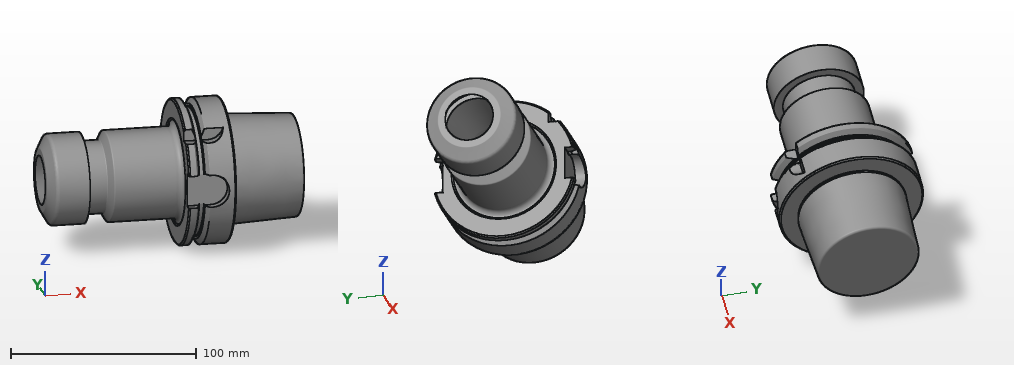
import cadquery as cq
import math

LENGTH = 140.0
CONE_SLOPE = math.tan(math.radians(60))

BODY_RADIUS = 50.0 / 2
NOSE_RADIUS = 17.5
NOSE_EDGE_FILLET = 1.0
NUT_END = 22.4
NUT_FILLET = 2.4
NECK_RADIUS = 20.0
NECK_END = 33.0
NECK_CORNER_FILLET = 0.5
BODY_EDGE_FILLET = 1.0

FLANGE_START = 73.9
FLANGE_END = 100.0
FLANGE_RADIUS = 80.0 / 2
FLANGE_CHAMFER = 0.8
GROOVE_CENTER = FLANGE_START + 8.0
GROOVE_HALF_FLOOR = 3.2 / 2
GROOVE_HALF_MOUTH = 3.5
GROOVE_FLOOR_RADIUS = 35.0
GROOVE_FILLET = 0.4
GROOVE_CONE_RADIUS = FLANGE_RADIUS - (GROOVE_HALF_MOUTH - GROOVE_HALF_FLOOR) * CONE_SLOPE

RELIEF_FILLET = 3.4
RELIEF_UNDERCUT = 0.07
RELIEF_DEPTH = 0.5
RELIEF_BASE_RADIUS = BODY_RADIUS - RELIEF_UNDERCUT
RELIEF_RIM_RADIUS = 29.3
RELIEF_END = FLANGE_START + RELIEF_DEPTH
RELIEF_START = RELIEF_END - RELIEF_FILLET
RELIEF_LEAD_IN = 1.3

SHANK_RADIUS = 30.1
SHANK_TAPER = 1 / 20
SHANK_NECK_LENGTH = 1.1
SHANK_NECK_RADIUS = 29.7
SHANK_LEAD_IN = 0.5
SHANK_FILLET = 1.4

MOUTH_RADIUS = 26.7 / 2
CAVITY_RADIUS = 38.5 / 2
CAVITY_HALF_ANGLE = 30
CAVITY_END = 12.9
COLLET_RADIUS = 16.2
COLLET_HALF_ANGLE = 8
BORE_RADIUS = 11.8
BORE_END = 56.0
BORE_FLOOR_RADIUS = 10.9
DRILL_RADIUS = 7.0
DRILL_END = 77.0
DRILL_HALF_ANGLE = 59
COUNTERSINK_RADIUS = 17.5 / 2

SLOT_END_RADIUS = 9.0
SLOT_END_CENTER = 87.1
FRONT_SLOT_WIDTH = 2 * SLOT_END_RADIUS
BACK_SLOT_WIDTH = 19.9
SLOT_FLOOR = 34.0
NOTCH_FLOOR = 24.9
CUT_MARGIN = 7.0


def revolve_about_x(profile):
    """Revolve a closed (axial, radial) profile a full turn about the X axis."""
    return profile.close().revolve(360, (0, 0, 0), (1, 0, 0))


def circle_at(solid, x, radius, tolerance=0.07):
    """Pick the circular edge of a given radius around the X axis at a given X."""
    reach = radius + tolerance
    ring = cq.selectors.BoxSelector(
        (x - tolerance, -reach, -reach), (x + tolerance, reach, reach), boundingbox=True
    )
    inner = radius - tolerance
    core = cq.selectors.BoxSelector(
        (x - tolerance, -inner, -inner), (x + tolerance, inner, inner), boundingbox=True
    )
    return solid.edges(ring - core)


def body_and_nut():
    nut_cone_end = (BODY_RADIUS - NOSE_RADIUS) / CONE_SLOPE
    body_cone_end = NECK_END + (BODY_RADIUS - NECK_RADIUS) / CONE_SLOPE
    arc_turn = math.radians(45)
    arc_middle = (
        RELIEF_START + RELIEF_FILLET * math.sin(arc_turn),
        RELIEF_BASE_RADIUS + RELIEF_FILLET * (1 - math.cos(arc_turn)),
    )
    profile = (
        cq.Workplane("XY")
        .moveTo(0, 0)
        .lineTo(0, NOSE_RADIUS)
        .lineTo(nut_cone_end, BODY_RADIUS)
        .lineTo(NUT_END, BODY_RADIUS)
        .lineTo(NUT_END, NECK_RADIUS)
        .lineTo(NECK_END, NECK_RADIUS)
        .lineTo(body_cone_end, BODY_RADIUS)
        .lineTo(RELIEF_START - RELIEF_LEAD_IN, BODY_RADIUS)
        .lineTo(RELIEF_START, RELIEF_BASE_RADIUS)
        .threePointArc(arc_middle, (RELIEF_END, RELIEF_BASE_RADIUS + RELIEF_FILLET))
        .lineTo(FLANGE_START, RELIEF_RIM_RADIUS)
        .lineTo(FLANGE_START, FLANGE_RADIUS - FLANGE_CHAMFER)
        .lineTo(FLANGE_START + FLANGE_CHAMFER, FLANGE_RADIUS)
        .lineTo(GROOVE_CENTER - GROOVE_HALF_MOUTH, FLANGE_RADIUS)
        .lineTo(GROOVE_CENTER - GROOVE_HALF_FLOOR, GROOVE_CONE_RADIUS)
        .lineTo(GROOVE_CENTER - GROOVE_HALF_FLOOR, GROOVE_FLOOR_RADIUS)
        .lineTo(GROOVE_CENTER + GROOVE_HALF_FLOOR, GROOVE_FLOOR_RADIUS)
        .lineTo(GROOVE_CENTER + GROOVE_HALF_FLOOR, GROOVE_CONE_RADIUS)
        .lineTo(GROOVE_CENTER + GROOVE_HALF_MOUTH, FLANGE_RADIUS)
        .lineTo(FLANGE_END - FLANGE_CHAMFER, FLANGE_RADIUS)
        .lineTo(FLANGE_END, FLANGE_RADIUS - FLANGE_CHAMFER)
        .lineTo(FLANGE_END, 0)
    )
    solid = revolve_about_x(profile)
    solid = circle_at(solid, 0, NOSE_RADIUS).fillet(NOSE_EDGE_FILLET)
    solid = circle_at(solid, nut_cone_end, BODY_RADIUS).fillet(NUT_FILLET)
    solid = circle_at(solid, NECK_END, NECK_RADIUS).fillet(NECK_CORNER_FILLET)
    solid = circle_at(solid, body_cone_end, BODY_RADIUS).fillet(BODY_EDGE_FILLET)
    for side in (-1, 1):
        mouth_x = GROOVE_CENTER + side * GROOVE_HALF_MOUTH
        floor_x = GROOVE_CENTER + side * GROOVE_HALF_FLOOR
        solid = circle_at(solid, mouth_x, FLANGE_RADIUS).fillet(GROOVE_FILLET)
        solid = circle_at(solid, floor_x, GROOVE_FLOOR_RADIUS).fillet(GROOVE_FILLET)
    return solid


def taper_shank():
    neck_end = FLANGE_END + SHANK_NECK_LENGTH
    taper_start = neck_end + SHANK_LEAD_IN
    end_radius = SHANK_RADIUS - (LENGTH - taper_start) * SHANK_TAPER
    profile = (
        cq.Workplane("XY")
        .moveTo(FLANGE_END, 0)
        .lineTo(FLANGE_END, SHANK_NECK_RADIUS)
        .lineTo(neck_end, SHANK_NECK_RADIUS)
        .lineTo(taper_start, SHANK_RADIUS)
        .lineTo(LENGTH, end_radius)
        .lineTo(LENGTH, 0)
    )
    return revolve_about_x(profile).edges(">X").fillet(SHANK_FILLET)


def collet_bore():
    cavity_cone_end = (CAVITY_RADIUS - MOUTH_RADIUS) / math.tan(math.radians(CAVITY_HALF_ANGLE))
    collet_length = (COLLET_RADIUS - BORE_RADIUS) / math.tan(math.radians(COLLET_HALF_ANGLE))
    drill_tip = DRILL_END + DRILL_RADIUS / math.tan(math.radians(DRILL_HALF_ANGLE))
    profile = (
        cq.Workplane("XY")
        .moveTo(0, 0)
        .lineTo(0, MOUTH_RADIUS)
        .lineTo(cavity_cone_end, CAVITY_RADIUS)
        .lineTo(CAVITY_END, CAVITY_RADIUS)
        .lineTo(CAVITY_END, COLLET_RADIUS)
        .lineTo(CAVITY_END + collet_length, BORE_RADIUS)
        .lineTo(BORE_END - (BORE_RADIUS - BORE_FLOOR_RADIUS), BORE_RADIUS)
        .lineTo(BORE_END, BORE_FLOOR_RADIUS)
        .lineTo(BORE_END, COUNTERSINK_RADIUS)
        .lineTo(BORE_END + COUNTERSINK_RADIUS - DRILL_RADIUS, DRILL_RADIUS)
        .lineTo(DRILL_END, DRILL_RADIUS)
        .lineTo(drill_tip, 0)
    )
    return revolve_about_x(profile)


def flange_cut(y_min, y_max, z_min, z_max, rounded_edges):
    """Box entering the flange from its nose side, with its far end rounded along Y."""
    x_size = SLOT_END_CENTER + SLOT_END_RADIUS - FLANGE_START
    box = cq.Workplane("XY").box(x_size, y_max - y_min, z_max - z_min, centered=False)
    box = box.translate((FLANGE_START, y_min, z_min))
    return box.edges(rounded_edges).fillet(SLOT_END_RADIUS)


def front_drive_slot():
    """Slot in the -Y side whose far end is a full half circle."""
    outside = FLANGE_RADIUS + CUT_MARGIN
    half_width = FRONT_SLOT_WIDTH / 2
    depth = outside - SLOT_FLOOR
    straight = (
        cq.Workplane("XY")
        .box(SLOT_END_CENTER - FLANGE_START, depth, FRONT_SLOT_WIDTH, centered=False)
        .translate((FLANGE_START, -outside, -half_width))
    )
    round_end = (
        cq.Workplane("XZ", origin=(SLOT_END_CENTER, -SLOT_FLOOR, 0))
        .circle(SLOT_END_RADIUS)
        .extrude(depth)
    )
    return straight.union(round_end)


def back_drive_slot():
    """Wider slot in the +Y side with two rounded corners at its far end."""
    half_width = BACK_SLOT_WIDTH / 2
    return flange_cut(SLOT_FLOOR, FLANGE_RADIUS + CUT_MARGIN, -half_width, half_width, ">X and |Y")


def orientation_notch():
    """Square corner notch on the -Y, +Z side; its floor sweeps up at the far end."""
    outside = FLANGE_RADIUS + CUT_MARGIN
    return flange_cut(-outside, -NOTCH_FLOOR, NOTCH_FLOOR, outside, ">X and |Y and <Z")


result = (
    body_and_nut()
    .union(taper_shank())
    .cut(collet_bore())
    .cut(front_drive_slot())
    .cut(back_drive_slot())
    .cut(orientation_notch())
)